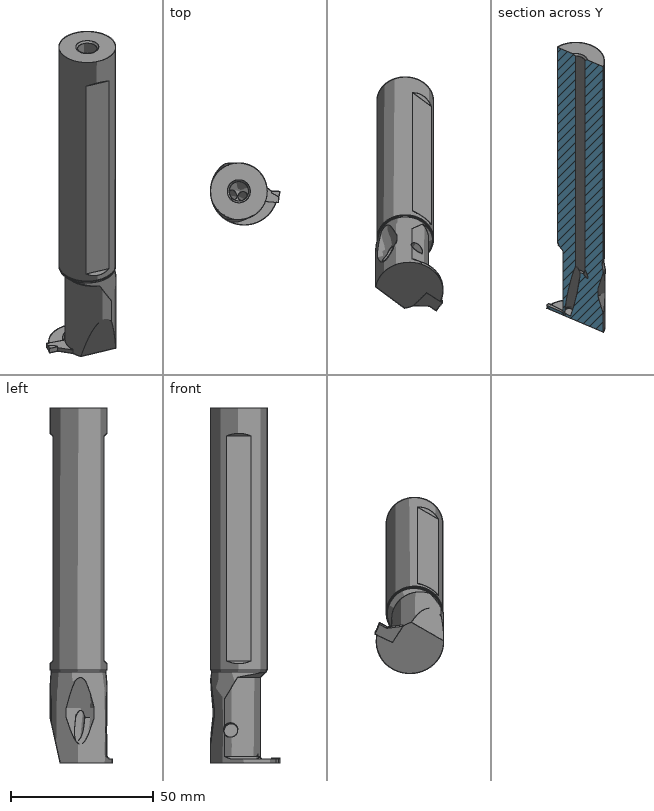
import cadquery as cq
import math

total_height = 125.0
shank_radius = 10.0
shank_bottom_z = 32.8
flat_distance = 9.0
flat_bottom_z = 36.0
flat_top_z = 115.0
flat_ramp = shank_radius - flat_distance

collar_radius = 9.65
collar_bottom_z = 32.0
cone_top_radius = 9.6

cutter_radius = 11.88
cutter_axis_x = cutter_radius - shank_radius
cone_slope = 0.135
neck_radius = 10.0
neck_axis_x = -2.3
neck_top_z = 30.2
neck_flare = collar_bottom_z - neck_top_z
disc_thickness = 1.5
neck_base_chamfer = 0.9
relief_angle = 12.5
relief_bottom_y = 6.5

insert_inner_x = 7.0
insert_inner_y = 3.7
seat_inner_y = -3.4
seat_outer = (13.95, -4.0)
tip = (14.5, 0.0)
heel = (14.1, -2.0)
gullet_corner = (11.4, 0.1)
ridge_inner = (11.4, -0.5)
ridge_height = 0.4

bore_radius = 3.4
bore_mouth_radius = 4.05
bore_end_z = 24.0
bore_tip_half_angle = 59.0

pocket_radius = 8.0
pocket_depth = 2.8
pocket_axis_x = -shank_radius + pocket_depth - pocket_radius
pocket_axis_y = -0.9
pocket_top_z = 30.8
pocket_bottom_z = 6.6
pocket_band_bottom_z = 16.0
pocket_band_top_z = 19.4
pocket_end_radius = pocket_radius - pocket_depth

side_hole_radius = 2.5
side_hole_x = -2.93
side_hole_z = 11.7
side_hole_floor_y = -7.4
side_hole_tilt = cq.Vector(0.1, 1.0, -0.15)
side_hole_reach = 5.0

branch_radius = 1.65
insert_branch_start = cq.Vector(1.0, -1.5, bore_end_z + 1)
insert_branch_end = cq.Vector(5.3, -4.0, disc_thickness)
pocket_branch_start = cq.Vector(-1.4, -1.4, bore_end_z + 1)
pocket_branch_end = cq.Vector(-12.2, 0.3, 7.0)

clearance = 20.0


def revolve_profile(points, axis_x=0.0, axis_y=0.0):
    """Solid of revolution about a vertical axis from (radius, z) points."""
    profile = cq.Workplane("XZ").polyline(points).close()
    return profile.revolve(360, (0, 0, 0), (0, 1, 0)).translate((axis_x, axis_y, 0))


def straight_hole(start, end, radius):
    direction = end - start
    return cq.Workplane(cq.Solid.makeCylinder(radius, direction.Length, start, direction))


def make_shank():
    shank = cq.Workplane("XY").workplane(offset=shank_bottom_z)
    shank = shank.circle(shank_radius).extrude(total_height - shank_bottom_z)
    flat_profile = [
        (-flat_distance, flat_bottom_z),
        (-shank_radius, flat_bottom_z - flat_ramp),
        (-shank_radius, flat_top_z + flat_ramp),
        (-flat_distance, flat_top_z),
    ]
    flat = cq.Workplane("YZ").polyline(flat_profile).close().extrude(shank_radius, both=True)
    for angle in (0, 180):
        shank = shank.cut(flat.rotate((0, 0, 0), (0, 0, 1), angle))
    collar = cq.Workplane("XY").workplane(offset=collar_bottom_z)
    collar = collar.circle(collar_radius).extrude(shank_bottom_z - collar_bottom_z)
    return shank.union(collar)


def make_head():
    cutting_cylinder = cq.Workplane("XY").center(cutter_axis_x, 0).circle(cutter_radius)
    cutting_cylinder = cutting_cylinder.extrude(collar_bottom_z)
    cone = revolve_profile([
        (0, 0),
        (cone_top_radius + cone_slope * collar_bottom_z, 0),
        (cone_top_radius, collar_bottom_z),
        (0, collar_bottom_z),
    ])
    neck = revolve_profile([
        (0, 0),
        (neck_radius, 0),
        (neck_radius, neck_top_z),
        (neck_radius + neck_flare, collar_bottom_z),
        (0, collar_bottom_z),
    ], neck_axis_x)
    base_radius = neck_radius + neck_base_chamfer
    base = revolve_profile([
        (0, 0),
        (base_radius, 0),
        (base_radius, disc_thickness),
        (neck_radius, disc_thickness + neck_base_chamfer),
        (0, disc_thickness + neck_base_chamfer),
    ], neck_axis_x)
    disc = cq.Workplane("XY").circle(2 * cutter_radius).extrude(disc_thickness)
    front_side = cq.Workplane("XY").rect(4 * clearance, clearance).extrude(clearance)
    front_side = front_side.translate((0, seat_inner_y - clearance / 2, 0))
    disc = disc.union(base).intersect(front_side).intersect(cutting_cylinder)
    head = cutting_cylinder.intersect(cone).intersect(neck).union(disc)
    relief = cq.Workplane("XY").box(4 * clearance, clearance, 6 * clearance, centered=(True, False, True))
    relief = relief.rotate((0, 0, 0), (1, 0, 0), -relief_angle).translate((0, relief_bottom_y, 0))
    return head.cut(relief)


def make_insert():
    outline = [
        (insert_inner_x, insert_inner_y),
        (insert_inner_x, seat_inner_y),
        seat_outer,
        heel,
        tip,
        gullet_corner,
    ]
    plate = cq.Workplane("XY").polyline(outline).close().extrude(disc_thickness)
    ridge_outline = [gullet_corner, ridge_inner, heel, tip]
    ridge = cq.Workplane("XY").polyline(ridge_outline).close().extrude(disc_thickness + ridge_height)
    return plate.union(ridge)


def make_bore():
    tip_length = bore_radius / math.tan(math.radians(bore_tip_half_angle))
    return revolve_profile([
        (0, bore_end_z - tip_length),
        (bore_radius, bore_end_z),
        (bore_radius, total_height - (bore_mouth_radius - bore_radius)),
        (bore_mouth_radius, total_height),
        (0, total_height),
    ])


def make_pocket():
    return revolve_profile([
        (0, pocket_bottom_z),
        (pocket_end_radius, pocket_bottom_z),
        (pocket_radius, pocket_band_bottom_z),
        (pocket_radius, pocket_band_top_z),
        (pocket_end_radius, pocket_top_z),
        (0, pocket_top_z),
    ], pocket_axis_x, pocket_axis_y)


def make_side_hole():
    mouth = cq.Vector(side_hole_x, -neck_radius, side_hole_z)
    reach = side_hole_tilt * side_hole_reach
    hole = straight_hole(mouth - reach, mouth + reach, side_hole_radius)
    outside = cq.Workplane("XY").box(clearance, clearance, 2 * clearance)
    return hole.intersect(outside.translate((0, side_hole_floor_y - clearance / 2, side_hole_z)))


insert = make_insert()

holder = make_shank().union(make_head())
holder = holder.cut(make_bore())
holder = holder.cut(make_pocket())
holder = holder.cut(make_side_hole())
holder = holder.cut(straight_hole(insert_branch_start, insert_branch_end, branch_radius))
holder = holder.cut(straight_hole(pocket_branch_start, pocket_branch_end, branch_radius))
holder = holder.cut(insert)

result = cq.Compound.makeCompound([holder.val(), insert.val()])